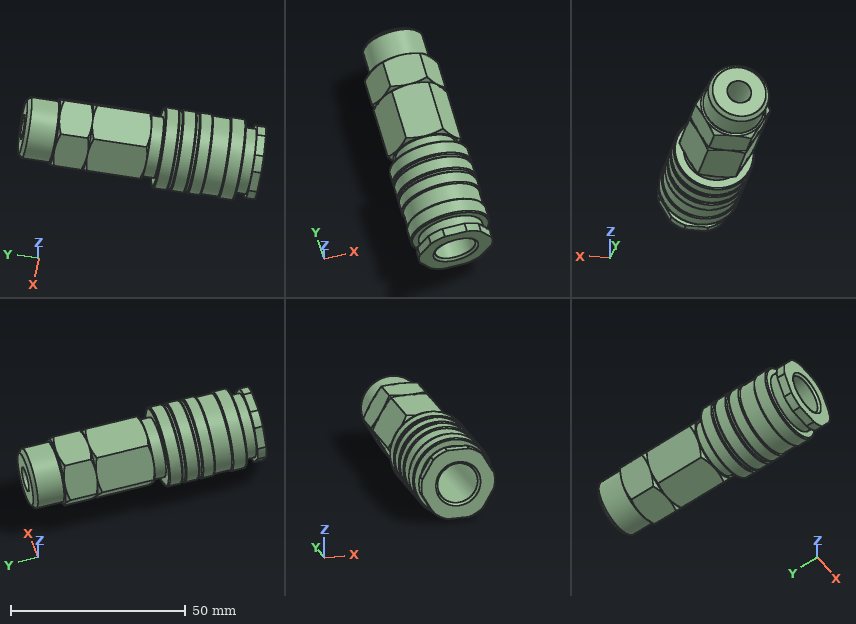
import cadquery as cq
import math

LENGTH = 69.0
FRONT_Y = -LENGTH / 2

COLLAR_END = 2.6
SLEEVE_START = 5.9
SLEEVE_END = 29.5
LONG_HEX_START = 33.0
HEX_JOINT = 50.1
SHORT_HEX_END = 59.7

COLLAR_DIAMETER = 22.0
COLLAR_ACROSS_FLATS = 21.0

FRONT_NECK_DIAMETER = 19.0
REAR_NECK_DIAMETER = 17.75
SPIGOT_DIAMETER = 17.8
SPIGOT_CHAMFER = 1.1
RELIEF_DIAMETER = 17.0
RELIEF_WIDTH = 0.3

SLEEVE_DIAMETER = 23.5
SLEEVE_CORE_DIAMETER = 22.75
BAND_CHAMFER = (SLEEVE_DIAMETER - SLEEVE_CORE_DIAMETER) / 2
BANDS = [(SLEEVE_START, 10.5), (15.5, 19.5), (20.2, 24.5), (25.2, SLEEVE_END)]

HEX_ACROSS_FLATS = 19.0
HEX_CHAMFER_ANGLE = 30.0

SOCKET_DIAMETER = 12.0
SOCKET_MOUTH_DIAMETER = 13.4
SOCKET_DEPTH = 25.0
SOCKET_MOUTH_TAPER = 45.0
PASSAGE_DIAMETER = 7.0


def plane_at(station):
    """Plane across the axis whose normal points toward +Y."""
    return cq.Plane(origin=(0, FRONT_Y + station, 0), xDir=(1, 0, 0), normal=(0, 1, 0))


def across_corners(across_flats):
    """Corner circle diameter of a regular hexagon."""
    return across_flats * 2 / math.sqrt(3)


def cylinder(start, end, diameter):
    return cq.Workplane(plane_at(start)).circle(diameter / 2).extrude(end - start)


def hexagon(start, end, across_flats):
    """Hexagonal prism with two flats facing +Z and -Z."""
    outline = cq.Workplane(plane_at(start)).polygon(6, across_corners(across_flats))
    return outline.extrude(end - start)


def chamfered_hexagon(start, end):
    """Wrench hexagon with its corners turned down at both ends."""
    corner_diameter = across_corners(HEX_ACROSS_FLATS)
    radial = (corner_diameter - HEX_ACROSS_FLATS) / 2
    axial = radial * math.tan(math.radians(HEX_CHAMFER_ANGLE))
    envelope = cylinder(start, end, corner_diameter)
    envelope = envelope.faces("<Y").chamfer(axial, radial)
    envelope = envelope.faces(">Y").chamfer(axial, radial)
    return hexagon(start, end, HEX_ACROSS_FLATS).intersect(envelope)


def front_collar():
    disc = cylinder(0, COLLAR_END, COLLAR_DIAMETER)
    return disc.intersect(hexagon(0, COLLAR_END, COLLAR_ACROSS_FLATS))


def sleeve():
    body = cylinder(SLEEVE_START, SLEEVE_END, SLEEVE_CORE_DIAMETER)
    for start, end in BANDS:
        band = cylinder(start, end, SLEEVE_DIAMETER)
        body = body.union(band.faces("<Y or >Y").chamfer(BAND_CHAMFER))
    return body


def spigot():
    relief_end = SHORT_HEX_END + RELIEF_WIDTH
    relief = cylinder(SHORT_HEX_END, relief_end, RELIEF_DIAMETER)
    barrel = cylinder(relief_end, LENGTH, SPIGOT_DIAMETER)
    return relief.union(barrel.faces(">Y").chamfer(SPIGOT_CHAMFER))


def bore():
    mouth_step = (SOCKET_MOUTH_DIAMETER - SOCKET_DIAMETER) / 2
    mouth_depth = mouth_step / math.tan(math.radians(SOCKET_MOUTH_TAPER))
    mouth_circle = cq.Workplane(plane_at(0)).circle(SOCKET_MOUTH_DIAMETER / 2)
    mouth = mouth_circle.extrude(mouth_depth, taper=SOCKET_MOUTH_TAPER)
    socket = cylinder(0, SOCKET_DEPTH, SOCKET_DIAMETER)
    passage = cylinder(0, LENGTH, PASSAGE_DIAMETER)
    return passage.union(socket).union(mouth)


result = (
    front_collar()
    .union(cylinder(COLLAR_END, SLEEVE_START, FRONT_NECK_DIAMETER))
    .union(sleeve())
    .union(cylinder(SLEEVE_END, LONG_HEX_START, REAR_NECK_DIAMETER))
    .union(chamfered_hexagon(LONG_HEX_START, HEX_JOINT))
    .union(chamfered_hexagon(HEX_JOINT, SHORT_HEX_END))
    .union(spigot())
    .cut(bore())
)